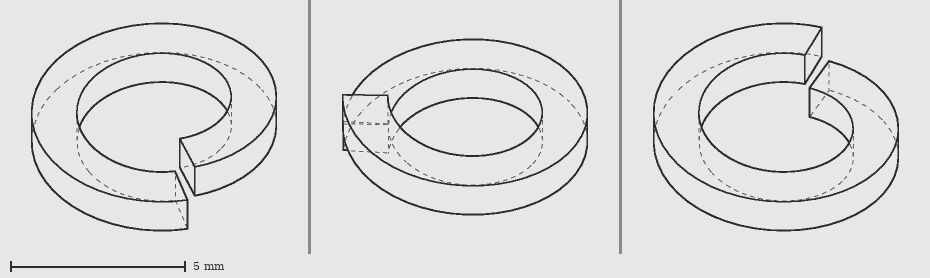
import cadquery as cq

outer_radius = 3.5
inner_radius = 2.205
thickness = 1.105
total_height = 2.31
gap_angle = 3.6

full_turn = 360.0
rise = total_height - thickness
pitch = rise * full_turn / (full_turn - gap_angle)
mean_radius = (outer_radius + inner_radius) / 2
section_width = outer_radius - inner_radius

helix = cq.Wire.makeHelix(pitch, rise, mean_radius, lefthand=True)

section = (
    cq.Workplane("XZ")
    .center(mean_radius, thickness / 2)
    .rect(section_width, thickness)
)
coil = section.sweep(cq.Workplane(obj=helix), isFrenet=True)

result = (
    coil.rotate((0, 0, 0), (0, 0, 1), -gap_angle)
    .translate((0, 0, -total_height / 2))
)